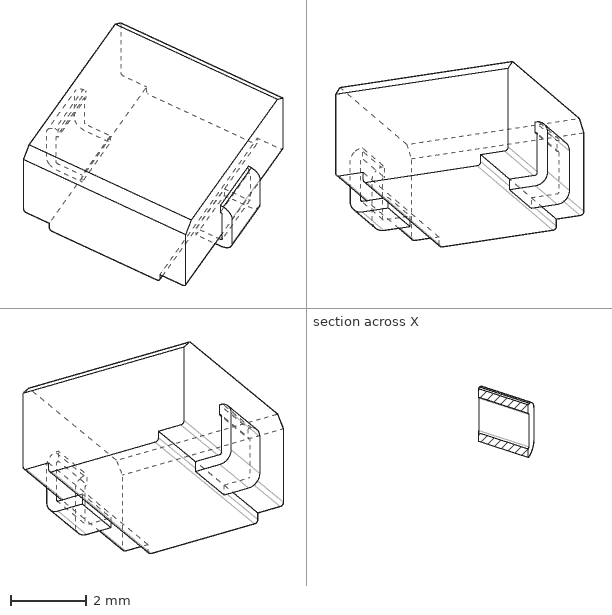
import cadquery as cq
import math

total_width = 5.7
total_height = 3.0

housing_width = 4.98
housing_depth = 5.2
top_chamfer = 0.3
standoff = 0.05
pedestal_width = 3.4
lower_edge_radius = 0.1

lead_thickness = 0.3
lead_width = 1.5
lead_height = 1.82
foot_length = 1.1
bend_radius = 0.35
inner_bend_radius = 0.05
shoulder_radius = 0.36
shoulder_width = 0.27
ledge_height = lead_thickness + standoff


def extrude_along_y(profile, depth):
    """Extrude an XZ profile symmetrically about Y = 0."""
    return profile.extrude(depth / 2, both=True)


def make_housing():
    """Block with a central pedestal, chamfered along its front and back top edges."""
    half_width = housing_width / 2
    half_pedestal = pedestal_width / 2
    profile = (
        cq.Workplane("XZ")
        .moveTo(-half_width, total_height)
        .lineTo(half_width, total_height)
        .lineTo(half_width, ledge_height)
        .lineTo(half_pedestal, ledge_height)
        .lineTo(half_pedestal, standoff)
        .lineTo(-half_pedestal, standoff)
        .lineTo(-half_pedestal, ledge_height)
        .lineTo(-half_width, ledge_height)
        .close()
    )
    block = extrude_along_y(profile, housing_depth)
    block = block.faces(">Z").edges("|X").chamfer(top_chamfer)

    pedestal_edges = block.faces("<Z").edges("|Y")
    outer_edges = block.edges("|Y and (<X or >X)").edges("<Z")
    return block.newObject(pedestal_edges.vals() + outer_edges.vals()).fillet(lower_edge_radius)


def make_left_lead():
    """C-shaped strip: foot under the housing, upright, and tab that meets the side wall."""
    outer_x = -total_width / 2
    inner_x = outer_x + lead_thickness
    wall_x = -housing_width / 2
    foot_x = outer_x + foot_length
    tab_underside = lead_height - lead_thickness

    shoulder_angle = math.acos(1 - shoulder_width / shoulder_radius)
    shoulder_start = lead_height - shoulder_radius * math.sin(shoulder_angle)

    profile = (
        cq.Workplane("XZ")
        .moveTo(foot_x, 0)
        .lineTo(outer_x + bend_radius, 0)
        .radiusArc((outer_x, bend_radius), bend_radius)
        .lineTo(outer_x, shoulder_start)
        .radiusArc((outer_x + shoulder_width, lead_height), shoulder_radius)
        .lineTo(wall_x, lead_height)
        .lineTo(wall_x, tab_underside)
        .radiusArc((inner_x, tab_underside - inner_bend_radius), -inner_bend_radius)
        .lineTo(inner_x, lead_thickness + inner_bend_radius)
        .radiusArc((inner_x + inner_bend_radius, lead_thickness), -inner_bend_radius)
        .lineTo(foot_x, lead_thickness)
        .close()
    )
    return extrude_along_y(profile, lead_width)


def make_lead(turn):
    """Lead turned about Z to its side of the housing."""
    return make_left_lead().rotate((0, 0, 0), (0, 0, 1), turn)


housing = make_housing()
leads = [make_lead(turn) for turn in (0, 180)]

result = cq.Compound.makeCompound([housing.val(), *[lead.val() for lead in leads]])